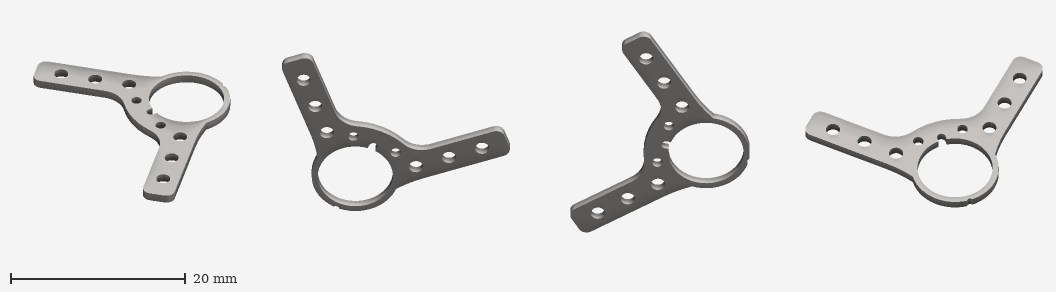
import cadquery as cq
import math

thickness = 1.0
ring_radius = 5.0
bore_radius = 4.3

arm_angle = math.radians(-45)
arm_apex_y = 1.4
web_radius = 8.5
web_bottom_y = arm_apex_y - web_radius
arm_length = 19.0
arm_half_width = 1.85
arm_corner_radius = 1.0
arm_hole_diameter = 1.6
arm_hole_stations = (8.0, 12.0, 16.0)

crotch_radius = 3.0
shoulder_station = 8.3
shoulder_angle = math.radians(-4.5)

web_hole_diameter = 1.2
web_hole_circle_radius = 7.0
web_hole_angle = math.radians(-67.5)
key_slot_width = 1.0
key_slot_bottom_radius = 5.25
notch_radius = 0.4
notch_depth = 0.2


def polar(radius, angle):
    """Offset from a centre at the given radius and angle."""
    return radius * math.cos(angle), radius * math.sin(angle)


def arm_point(station, offset):
    """Point along the right arm; a positive offset is towards its upper edge."""
    x = station * math.cos(arm_angle) - offset * math.sin(arm_angle)
    y = arm_apex_y + station * math.sin(arm_angle) + offset * math.cos(arm_angle)
    return x, y


def crotch_tangents():
    """Ends and midpoint of the arc joining the web edge to the lower arm edge."""
    centre_offset = -(arm_half_width + crotch_radius)
    centre_distance = web_radius + crotch_radius
    station = math.sqrt(centre_distance**2 - centre_offset**2)
    centre_x, centre_y = arm_point(station, centre_offset)

    web_direction = math.atan2(arm_apex_y - centre_y, -centre_x)
    arm_direction = arm_angle + math.pi / 2
    middle_x, middle_y = polar(crotch_radius, (web_direction + arm_direction) / 2)
    web_x, web_y = polar(crotch_radius, web_direction)
    on_web = (centre_x + web_x, centre_y + web_y)
    middle = (centre_x + middle_x, centre_y + middle_y)
    on_arm = arm_point(station, -arm_half_width)
    return on_web, middle, on_arm


def right_arm_edge():
    """Open wire around the right arm, from the web edge to the ring."""
    on_web, crotch_middle, on_arm = crotch_tangents()
    corner_station = arm_length - arm_corner_radius
    corner_offset = arm_half_width - arm_corner_radius
    return (
        cq.Workplane("XY")
        .moveTo(*on_web)
        .threePointArc(crotch_middle, on_arm)
        .lineTo(*arm_point(corner_station, -arm_half_width))
        .tangentArcPoint(arm_point(arm_length, -corner_offset), relative=False)
        .lineTo(*arm_point(arm_length, corner_offset))
        .tangentArcPoint(arm_point(corner_station, arm_half_width), relative=False)
        .lineTo(*arm_point(shoulder_station, arm_half_width))
        .tangentArcPoint(polar(ring_radius, shoulder_angle), relative=False)
        .wire()
        .val()
    )


def arc_across(right_end, middle_y):
    """Arc symmetric about the Y axis, crossing it at middle_y."""
    x, y = right_end
    return cq.Edge.makeThreePointArc(cq.Vector(-x, y), cq.Vector(0, middle_y), cq.Vector(x, y))


def solid_plate():
    """Plate with both arms and the ring still solid."""
    right_arm = right_arm_edge()
    web_edge = arc_across(right_arm.startPoint().toTuple()[:2], web_bottom_y)
    ring_edge = arc_across(polar(ring_radius, shoulder_angle), ring_radius)
    edges = [web_edge, *right_arm.Edges(), ring_edge, *right_arm.mirror("YZ").Edges()]
    outline = cq.Wire.combine(edges)[0]
    return cq.Workplane("XY").add(outline).toPending().extrude(thickness)


def through_cylinders(points, diameter):
    """Cutters for round holes through the plate."""
    return cq.Workplane("XY").pushPoints(points).circle(diameter / 2).extrude(thickness)


def key_slot():
    """Round-ended slot running from the bore into the web."""
    floor_centre_y = key_slot_width / 2 - key_slot_bottom_radius
    straight = (
        cq.Workplane("XY")
        .center(0, floor_centre_y / 2)
        .rect(key_slot_width, -floor_centre_y)
        .extrude(thickness)
    )
    return straight.union(through_cylinders([(0, floor_centre_y)], key_slot_width))


def both_sides(points):
    """The points together with their mirror images across the Y axis."""
    return points + [(-x, y) for x, y in points]


arm_holes = both_sides([arm_point(station, 0) for station in arm_hole_stations])
web_hole_x, web_hole_y = polar(web_hole_circle_radius, web_hole_angle)
web_holes = both_sides([(web_hole_x, arm_apex_y + web_hole_y)])
notch_centre = (0, ring_radius - notch_depth + notch_radius)

result = (
    solid_plate()
    .cut(through_cylinders([(0, 0)], 2 * bore_radius))
    .cut(key_slot())
    .cut(through_cylinders([notch_centre], 2 * notch_radius))
    .cut(through_cylinders(arm_holes, arm_hole_diameter))
    .cut(through_cylinders(web_holes, web_hole_diameter))
)